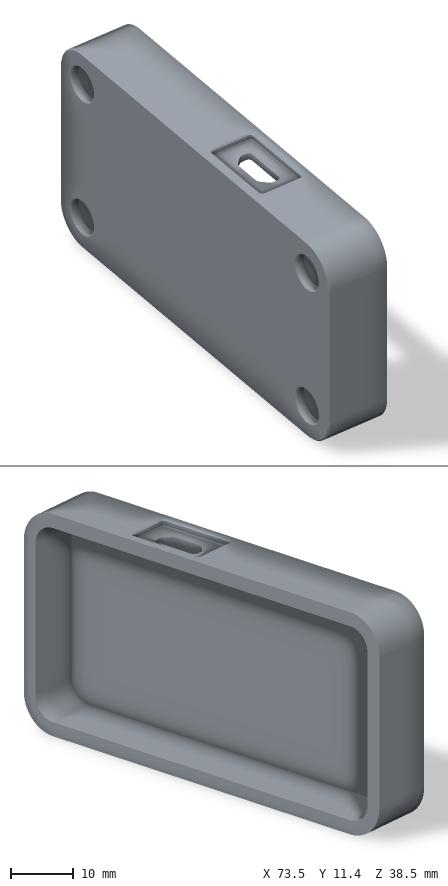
import cadquery as cq

length = 73.5
depth = 11.4
height = 38.5
corner_radius = 6.0
wall = 2.4
rim_chamfer = 0.2

foot_diameter = 6.1
foot_depth = 1.55
foot_chamfer = 0.2

port_x = 9.0
port_y = 0.0
recess_length = 14.0
recess_width = 8.0
recess_depth = 1.2
recess_radius = 0.6
recess_chamfer = 0.2

opening_length = 8.6
opening_width = 3.5
opening_bevel = 1.6
opening_upper_radius = 0.7
opening_bevel_radius = 1.2

front_y = -depth / 2
top_z = height / 2
foot_x = length / 2 - corner_radius
foot_z = height / 2 - corner_radius


def make_case():
    """Rounded box with a chamfered front rim, hollowed from the +Y side."""
    body = (
        cq.Workplane("XY")
        .box(length, depth, height)
        .edges("|Y").fillet(corner_radius)
        .faces("<Y").chamfer(rim_chamfer)
    )
    cavity = (
        cq.Workplane("XY")
        .box(length - 2 * wall, depth - wall, height - 2 * wall)
        .edges("|Y").fillet(corner_radius - wall)
        .translate((0, wall / 2, 0))
    )
    return body.cut(cavity)


def make_foot_recess(x, z):
    """Blind round recess in the front face with a chamfered mouth."""
    front = cq.Workplane("XZ", origin=(x, front_y, z))
    bore = front.circle(foot_diameter / 2).extrude(-foot_depth)
    mouth_radius = foot_diameter / 2 + foot_chamfer
    mouth = front.circle(mouth_radius).extrude(-foot_chamfer, taper=45)
    return bore.union(mouth)


def make_connector_recess():
    """Rounded pocket with a chamfered floor edge and a flared mouth."""
    outline = (
        cq.Sketch()
        .rect(recess_length, recess_width)
        .vertices().fillet(recess_radius)
    )
    pocket = (
        cq.Workplane("XY", origin=(port_x, port_y, top_z - recess_depth))
        .placeSketch(outline)
        .extrude(recess_depth)
        .faces("<Z").chamfer(recess_chamfer)
    )
    mouth = (
        cq.Workplane("XY", origin=(port_x, port_y, top_z - recess_chamfer))
        .placeSketch(outline)
        .extrude(recess_chamfer, taper=-45)
    )
    return pocket.union(mouth)


def make_connector_opening():
    """Cutter for the opening: rounded upper corners, bevelled and softened lower corners."""
    half_length = opening_length / 2
    half_width = opening_width / 2
    bevel_top_y = opening_bevel - half_width
    bevel_end_x = half_length - opening_bevel
    upper_corners = [(half_length, half_width), (-half_length, half_width)]
    bevel_corners = [
        (-half_length, bevel_top_y),
        (-bevel_end_x, -half_width),
        (bevel_end_x, -half_width),
        (half_length, bevel_top_y),
    ]
    opening = (
        cq.Workplane("XY", origin=(port_x, port_y, top_z - wall))
        .polyline(upper_corners + bevel_corners)
        .close()
        .extrude(wall)
        .edges("|Z and >Y").fillet(opening_upper_radius)
    )
    for x, y in bevel_corners:
        corner = (port_x + x, port_y + y, top_z - wall / 2)
        edge = cq.selectors.NearestToPointSelector(corner)
        opening = opening.edges("|Z").edges(edge).fillet(opening_bevel_radius)
    return opening


result = make_case().cut(make_connector_recess()).cut(make_connector_opening())
for x in (-foot_x, foot_x):
    for z in (-foot_z, foot_z):
        result = result.cut(make_foot_recess(x, z))